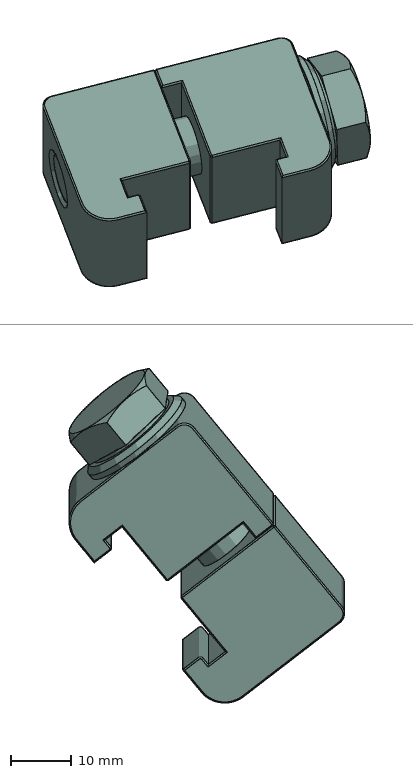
import cadquery as cq
import math


jaw_thickness = 19.2
jaw_width = 27.5
axis_to_back = 10.15
jaw_length = 20.05
body_width = 20.05
hook_depth = 8.0
lip_length = 1.95
lip_width = 3.9
lip_radius = 0.5
back_radius = 2.0
hook_radius = 5.0
edge_chamfer = 0.25
tongue_width = 3.9
jaw_gap = 3.4

washer_radius = 10.0
washer_thickness = 1.95
washer_bevel = 1.0

shank_radius = 5.0
tip_chamfer = 0.85
tip_recess = 0.5
collar_radius = 8.05
collar_height = 0.6
head_height = 5.8
head_corner_radius = 9.35
head_sides = 6
head_turn = 26.3
head_bevel_angle = 30.0
head_top_radius = 8.0

countersink_radius = 5.05
countersink_depth = 1.3
countersink_lift = 0.15

back_x = -axis_to_back
hook_x = back_x + jaw_width
floor_x = back_x + body_width
lip_x = hook_x - lip_width
jaw_top_y = 2 * jaw_length + jaw_gap
washer_top_y = jaw_top_y + washer_thickness
head_base_y = washer_top_y + collar_height
head_top_y = head_base_y + head_height


def y_cylinder(radius, start_y, end_y):
    """Cylinder on the bolt axis between two Y positions."""
    return cq.Workplane("XZ", origin=(0, start_y, 0)).circle(radius).extrude(start_y - end_y)


def jaw_outline():
    """Closed C-shaped profile of a jaw whose outer face is on Y = 0."""
    midpoint_inset = 1 - math.sqrt(0.5)
    back_mid = back_radius * midpoint_inset
    hook_mid = hook_radius * midpoint_inset
    lip_mid = lip_radius * midpoint_inset
    lip_end_y = hook_depth + lip_length
    return (
        cq.Workplane("XY", origin=(0, 0, -jaw_thickness / 2))
        .moveTo(back_x + back_radius, 0)
        .lineTo(hook_x - hook_radius, 0)
        .threePointArc((hook_x - hook_mid, hook_mid), (hook_x, hook_radius))
        .lineTo(hook_x, lip_end_y)
        .lineTo(lip_x + lip_radius, lip_end_y)
        .threePointArc((lip_x + lip_mid, lip_end_y - lip_mid), (lip_x, lip_end_y - lip_radius))
        .lineTo(lip_x, hook_depth)
        .lineTo(floor_x, hook_depth)
        .lineTo(floor_x, jaw_length - edge_chamfer)
        .lineTo(floor_x - edge_chamfer, jaw_length)
        .lineTo(back_x, jaw_length)
        .lineTo(back_x, back_radius)
        .threePointArc((back_x + back_mid, back_mid), (back_x + back_radius, 0))
        .close()
    )


def plain_jaw():
    """Jaw block before its bolt hole and face chamfers, outer face on Y = 0."""
    return jaw_outline().extrude(jaw_thickness)


def chamfer_jaw_edges(jaw):
    """Break both broad-face outlines and the back edge at the joint between the jaws."""
    inner_back_edge = cq.selectors.NearestToPointSelector((back_x, jaw_length, 0))
    jaw = jaw.edges(inner_back_edge).chamfer(edge_chamfer)
    return jaw.faces("<Z or >Z").edges().chamfer(edge_chamfer)


def make_bolt():
    """Hex bolt with a bevelled head, a collar under the head and a chamfered tip."""
    shank = y_cylinder(shank_radius, tip_recess, head_base_y).faces("<Y").chamfer(tip_chamfer)
    collar = y_cylinder(collar_radius, washer_top_y, head_base_y)
    hexagon = (
        cq.Workplane("XZ", origin=(0, head_base_y, 0))
        .polygon(head_sides, 2 * head_corner_radius)
        .extrude(-head_height)
        .rotate((0, 0, 0), (0, 1, 0), head_turn)
    )
    bevel_drop = (head_corner_radius - head_top_radius) * math.tan(math.radians(head_bevel_angle))
    bevel_envelope = (
        cq.Workplane("XY")
        .moveTo(0, head_base_y)
        .lineTo(head_corner_radius, head_base_y)
        .lineTo(head_corner_radius, head_top_y - bevel_drop)
        .lineTo(head_top_radius, head_top_y)
        .lineTo(0, head_top_y)
        .close()
        .revolve(360, (0, 0, 0), (0, 1, 0))
    )
    return hexagon.intersect(bevel_envelope).union(collar).union(shank)


def make_washer():
    """Washer bevelled on the side facing the bolt head."""
    disc = y_cylinder(washer_radius, jaw_top_y, washer_top_y).faces(">Y").chamfer(washer_bevel)
    return disc.cut(y_cylinder(shank_radius, jaw_top_y, washer_top_y))


def make_lower_jaw(bolt):
    """Jaw that receives the bolt tip, with a countersink on its outer face."""
    jaw = chamfer_jaw_edges(plain_jaw())
    countersink = cq.Solid.makeCone(
        countersink_radius,
        countersink_radius - countersink_depth,
        countersink_depth,
        cq.Vector(0, 0, countersink_lift),
        cq.Vector(0, 1, 0),
    )
    return jaw.cut(cq.Workplane(countersink)).cut(bolt)


def make_upper_jaw():
    """Mirrored jaw with a tongue along its back that rests on the lower jaw."""
    mirrored = plain_jaw().mirror("XZ").translate((0, jaw_top_y, 0))
    tongue = (
        cq.Workplane("XY")
        .box(tongue_width, jaw_gap, jaw_thickness, centered=(False, False, True))
        .translate((back_x, jaw_length, 0))
    )
    jaw = chamfer_jaw_edges(mirrored.union(tongue).clean())
    return jaw.cut(y_cylinder(shank_radius, jaw_length, jaw_top_y))


bolt = make_bolt()
washer = make_washer()
lower_jaw = make_lower_jaw(bolt)
upper_jaw = make_upper_jaw()

result = cq.Compound.makeCompound([lower_jaw.val(), upper_jaw.val(), washer.val(), bolt.val()])